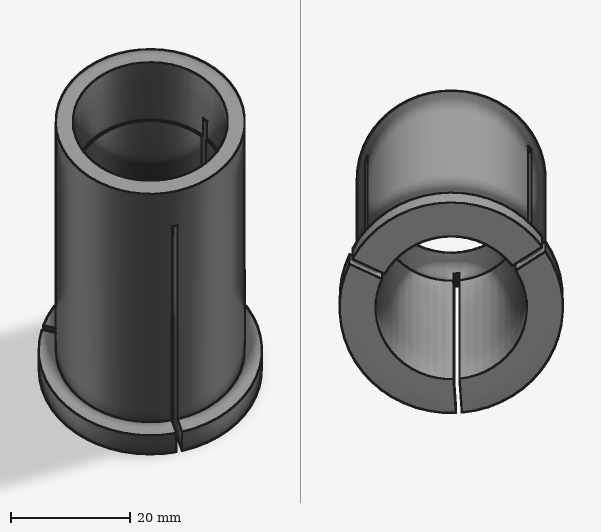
import cadquery as cq
import math

total_height = 64.6
tube_diameter = 31.75
flange_diameter = 37.5
flange_thickness = 5.0

bore_diameter = 25.4
counterbore_diameter = 26.0
counterbore_depth = 15.0

slot_count = 3
slot_width = 1.0
slot_top_margin = 9.0
slot_end_angle = 27.5
first_slot_angle = 90.0


def cylinder(diameter, bottom, top):
    """Solid cylinder on the Z axis between two heights."""
    return cq.Workplane("XY").workplane(offset=bottom).circle(diameter / 2).extrude(top - bottom)


def flanged_body():
    """Solid tube blank standing on its flange."""
    flange = cylinder(flange_diameter, 0, flange_thickness)
    return flange.union(cylinder(tube_diameter, 0, total_height))


def stepped_bore():
    """Through bore with a shallow, wider length at the top."""
    through_bore = cylinder(bore_diameter, 0, total_height)
    return through_bore.union(
        cylinder(counterbore_diameter, total_height - counterbore_depth, total_height)
    )


def radial_slot(angle):
    """Cutter from the axis outward past the flange, its end sloping down toward the axis."""
    wall_top = total_height - slot_top_margin
    slope = math.tan(math.radians(slot_end_angle))
    axis_top = wall_top - tube_diameter / 2 * slope
    outer_top = axis_top + flange_diameter * slope
    return (
        cq.Workplane("XZ")
        .polyline([(0, 0), (flange_diameter, 0), (flange_diameter, outer_top), (0, axis_top)])
        .close()
        .extrude(slot_width / 2, both=True)
        .rotate((0, 0, 0), (0, 0, 1), angle)
    )


result = flanged_body().cut(stepped_bore())
for slot_index in range(slot_count):
    slot_angle = first_slot_angle + slot_index * 360 / slot_count
    result = result.cut(radial_slot(slot_angle))